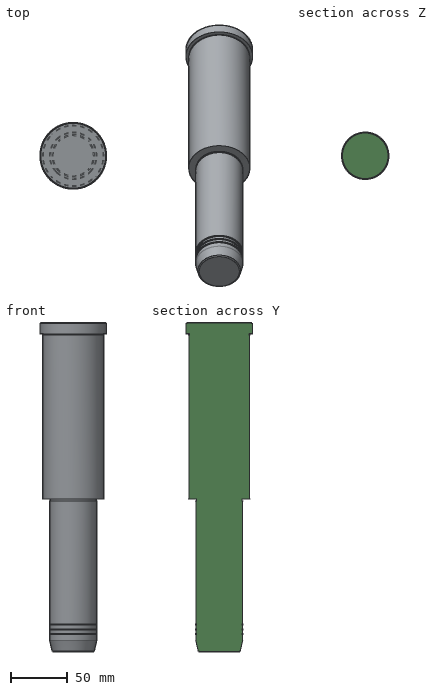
import cadquery as cq

total_length = 291.0

head_diameter = 59.0
head_height = 10.0
head_chamfer = 1.0

body_diameter = 54.0
body_length = 146.0

shank_diameter = 42.0
tip_diameter = 37.2
tip_height = 10.2
tip_edge_chamfer = 1.0

relief_depth = 0.5
body_relief_width = 1.0
shank_relief_width = 1.7

ring_count = 3
ring_depth = 0.5
ring_width = 1.0
ring_pitch = 4.0
lowest_ring_bottom = 15.5

head_bottom = total_length - head_height
body_bottom = head_bottom - body_length


def cylinder(diameter, bottom, top):
    """Solid cylinder on the Z axis between two heights."""
    return cq.Workplane("XY", origin=(0, 0, bottom)).circle(diameter / 2).extrude(top - bottom)


def groove_cutter(diameter, depth, bottom, width):
    """Ring that cuts a rectangular groove into a cylinder of the given diameter."""
    plane = cq.Workplane("XY", origin=(0, 0, bottom))
    return plane.circle(diameter / 2 + depth).circle(diameter / 2 - depth).extrude(width)


def make_shank():
    """Shank with a tapered tip whose bottom edge is chamfered."""
    shank_radius = shank_diameter / 2
    half_outline = [
        (0, 0),
        (tip_diameter / 2, 0),
        (shank_radius, tip_height),
        (shank_radius, body_bottom),
        (0, body_bottom),
    ]
    shank = cq.Workplane("XZ").polyline(half_outline).close().revolve(360, (0, 0, 0), (0, 1, 0))
    return shank.faces("<Z").chamfer(tip_edge_chamfer)


def make_head():
    """Head disc with a chamfered top edge."""
    return cylinder(head_diameter, head_bottom, total_length).faces(">Z").chamfer(head_chamfer)


def cut_shoulder_reliefs(pin):
    """Cut the relief grooves just below the head and just below the body."""
    body_relief = groove_cutter(
        body_diameter, relief_depth, head_bottom - body_relief_width, body_relief_width
    )
    shank_relief = groove_cutter(
        shank_diameter, relief_depth, body_bottom - shank_relief_width, shank_relief_width
    )
    return pin.cut(body_relief).cut(shank_relief)


def cut_tip_rings(pin):
    """Cut the evenly spaced ring grooves above the tip."""
    for index in range(ring_count):
        bottom = lowest_ring_bottom + index * ring_pitch
        pin = pin.cut(groove_cutter(shank_diameter, ring_depth, bottom, ring_width))
    return pin


body = cylinder(body_diameter, body_bottom, head_bottom)
pin = make_shank().union(body).union(make_head())
result = cut_tip_rings(cut_shoulder_reliefs(pin))